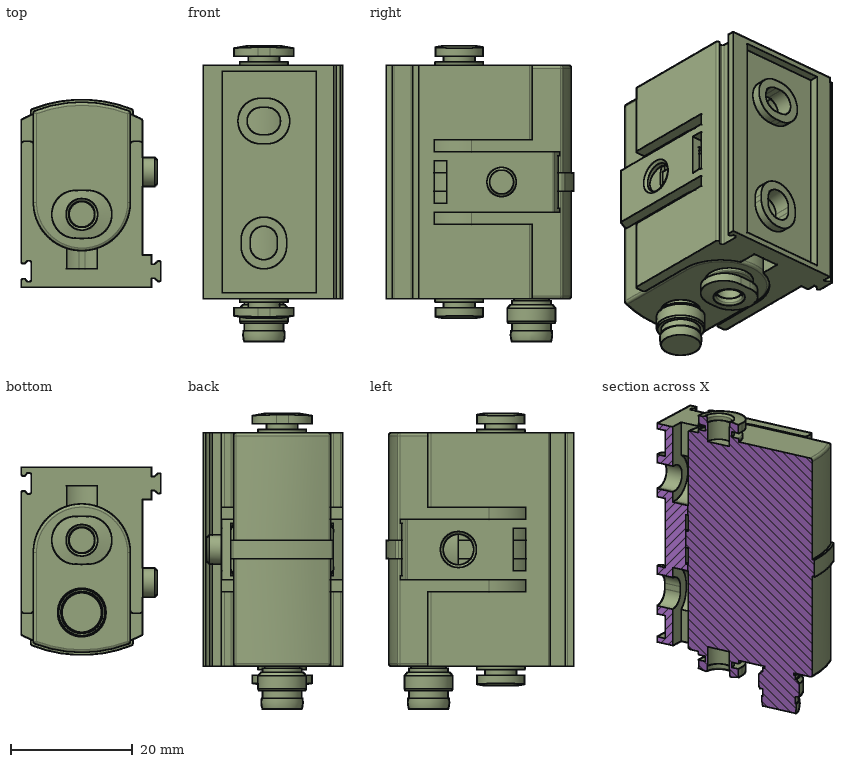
import cadquery as cq
import math

half_height = 19.25
half_width = 10.0

valve_radius = 8.0
valve_arc_y = 14.03
dome_centre_y = 8.85
dome_radius = 21.6
valve_edge = 0.5
belt_rise = 0.45
belt_height = 3.0

bump_rise = 1.0
bump_chord = 8.55
bump_length = 3.0

fitting_y = 12.05
flange_diameter = 8.0
flange_height = 0.6
flange_edge = 0.2
neck_diameter = 5.2
knob_length = 9.9
knob_width = 7.9
knob_start = 1.4
knob_end = 3.2
crown_angle = 10.0
mouth_diameter = 5.0
throat_diameter = 4.35
bore_diameter = 4.2
throat_depth = 1.05
bore_depth = 4.4

connector_y = 23.9
connector_length = 7.0
connector_neck_diameter = 5.8
connector_body_diameter = 6.5
barrel_diameter = 6.9
barrel_rim_diameter = 6.75
nut_diameter = 8.0
nut_chamfer_diameter = 7.6
connector_neck_end = 0.3
connector_shoulder_end = 0.93
nut_start = 1.55
nut_chamfer_start = 3.7
nut_end = 4.05
barrel_start = 5.25
barrel_bulge = 5.85

foot_x = 11.5
foot_y = 5.35
arm_end_y = 24.0
arm_edge = 0.45
clip_end_radius = 21.25
clip_edge = 0.25
clip_height = 9.95
clip_relief_height = 8.55
bump_channel_x = 8.55
bump_channel_height = 4.2
slot_outer_height = 13.95
slot_floor_y = 7.9
window_height = 7.0
window_width = 2.05

dovetail_y = 2.7
dovetail_end_x = 13.0
dovetail_flare_x = 12.55
dovetail_neck_x = 11.95
dovetail_neck_half = 1.15
dovetail_flare_half = 1.7
groove_depth = 1.65
groove_mouth_half = 1.2
groove_lip = 0.6
groove_flare_depth = 1.0
groove_corner = 0.3
groove_mouth_edge = 0.35

pin_y = 19.0
pin_diameter = 4.8
pin_length = 2.45
pin_chamfer = 0.45
socket_diameter = 5.0
socket_mouth_diameter = 5.95

pocket_left = -6.8
pocket_right = 8.6
pocket_height = 36.45
pocket_depth = 1.5
port_z = 10.05
port_flat = 1.0
boss_width = 7.5
port_width = 4.5
chamber_width = 8.0
chamber_y = 3.05
notch_width = 5.0


def box(x0, x1, y0, y1, height):
    """Box between two X and two Y limits, centred on mid-height."""
    return cq.Workplane("XY").box(x1 - x0, y1 - y0, height).translate(((x0 + x1) / 2, (y0 + y1) / 2, 0))


def cylinder_z(radius, y, height):
    return cq.Workplane("XY").center(0, y).circle(radius).extrude(height / 2, both=True)


def u_prism(offset, height):
    """U-shaped prism, grown outwards from the valve outline by an offset."""
    radius = valve_radius + offset
    dome = dome_radius + offset
    shoulder_y = dome_centre_y + math.sqrt(dome**2 - radius**2)
    return (
        cq.Workplane("XY", origin=(0, 0, -height / 2))
        .moveTo(-radius, valve_arc_y)
        .threePointArc((0, valve_arc_y - radius), (radius, valve_arc_y))
        .lineTo(radius, shoulder_y)
        .threePointArc((0, dome_centre_y + dome), (-radius, shoulder_y))
        .close()
        .extrude(height)
    )


def back_edges(body):
    """The upright edges of a body that lie behind the arm ends."""
    near = (-half_width - 0.5, arm_end_y, -half_height - 0.5)
    far = (half_width + 0.5, dome_centre_y + dome_radius + 0.5, half_height + 0.5)
    return body.edges(cq.selectors.BoxSelector(near, far)).edges("|Z")


def snap_bump(side):
    """Segment of a cylinder along Y that bulges from one side of the valve."""
    radius = ((bump_chord / 2) ** 2 + bump_rise**2) / (2 * bump_rise)
    rod_x = valve_radius + bump_rise - radius
    rod = cq.Workplane("XZ", origin=(rod_x, pin_y, 0)).circle(radius).extrude(-bump_length)
    keep = box(valve_radius - belt_rise, half_width, pin_y, pin_y + bump_length, bump_chord)
    bump = rod.intersect(keep)
    return bump if side > 0 else bump.mirror("YZ")


def fitting():
    """Release-collar fitting standing on the plane Z = 0."""
    flange = cq.Workplane("XY").circle(flange_diameter / 2).extrude(flange_height)
    flange = flange.faces(">Z").edges().fillet(flange_edge)
    neck = cq.Workplane("XY").circle(neck_diameter / 2).extrude(knob_end)
    crown_drop = (knob_length - mouth_diameter) / 2 * math.tan(math.radians(crown_angle))
    crown = (
        cq.Workplane("XZ")
        .polyline([
            (0, knob_start),
            (knob_length / 2, knob_start),
            (knob_length / 2, knob_end - crown_drop),
            (mouth_diameter / 2, knob_end),
            (0, knob_end),
        ])
        .close()
        .revolve(360, (0, 0), (0, 1))
    )
    knob = cq.Workplane("XY").slot2D(knob_length, knob_width).extrude(knob_end).intersect(crown)
    return flange.union(neck).union(knob)


def fitting_bore():
    """Stepped bore with a rounded mouth at the outer end of a fitting."""
    mouth_radius = mouth_diameter / 2
    throat_radius = throat_diameter / 2
    bore_radius = bore_diameter / 2
    rounding = mouth_radius - throat_radius
    return (
        cq.Workplane("XZ")
        .moveTo(0, knob_end)
        .lineTo(mouth_radius, knob_end)
        .radiusArc((throat_radius, knob_end - rounding), -rounding)
        .lineTo(throat_radius, knob_end - throat_depth)
        .lineTo(bore_radius, knob_end - throat_depth)
        .lineTo(bore_radius, knob_end - bore_depth)
        .lineTo(0, knob_end - bore_depth)
        .close()
        .revolve(360, (0, 0), (0, 1))
    )


def connector():
    """Turned plug hanging below the plane Z = 0."""
    body_radius = connector_body_diameter / 2
    return (
        cq.Workplane("XZ")
        .moveTo(0, 0)
        .lineTo(connector_neck_diameter / 2, 0)
        .lineTo(connector_neck_diameter / 2, -connector_neck_end)
        .lineTo(body_radius, -connector_neck_end)
        .lineTo(body_radius, -connector_shoulder_end)
        .lineTo(barrel_diameter / 2, -connector_shoulder_end)
        .lineTo(nut_diameter / 2, -nut_start)
        .lineTo(nut_diameter / 2, -nut_chamfer_start)
        .lineTo(nut_chamfer_diameter / 2, -nut_end)
        .lineTo(body_radius, -nut_end)
        .lineTo(body_radius, -barrel_start)
        .lineTo(barrel_rim_diameter / 2, -barrel_start)
        .threePointArc((barrel_diameter / 2, -barrel_bulge), (body_radius, -connector_length))
        .lineTo(0, -connector_length)
        .close()
        .revolve(360, (0, 0), (0, 1))
    )


def build_valve():
    block = u_prism(0, 2 * half_height)
    block = back_edges(block).fillet(valve_edge)
    block = block.faces("<Z or >Z").edges().fillet(valve_edge)
    belt = back_edges(u_prism(belt_rise, belt_height)).fillet(valve_edge)
    valve = block.union(belt)
    for side in (-1, 1):
        valve = valve.union(snap_bump(side))
    top_place = (0, fitting_y, half_height)
    top_fitting = fitting().translate(top_place)
    top_bore = fitting_bore().translate(top_place)
    valve = valve.union(top_fitting).union(top_fitting.mirror("XY"))
    valve = valve.cut(top_bore).cut(top_bore.mirror("XY"))
    return valve.union(connector().translate((0, connector_y, -half_height)))


def housing_block():
    """Extruded body with its foot; the arm ends are rounded outside."""
    arms = box(-half_width, half_width, 0, arm_end_y, 2 * half_height)
    arms = arms.cut(u_prism(0, 2 * half_height))
    arms = arms.faces(">Y").edges("|Z").fillet(arm_edge)
    foot = box(0, foot_x, 0, foot_y, 2 * half_height)
    return arms.union(foot)


def dovetail():
    upper = [
        (foot_x, dovetail_neck_half),
        (dovetail_neck_x, dovetail_neck_half),
        (dovetail_flare_x, dovetail_flare_half),
        (dovetail_end_x, dovetail_flare_half),
    ]
    lower = [(x, -y) for x, y in reversed(upper)]
    rail = cq.Workplane("XY").polyline(upper + lower).close().extrude(half_height, both=True)
    return rail.edges("|Z and >X").fillet(groove_corner).translate((0, dovetail_y, 0))


def dovetail_groove():
    upper = [
        (0, groove_mouth_half),
        (groove_lip, groove_mouth_half),
        (groove_flare_depth, dovetail_flare_half),
        (groove_depth, dovetail_flare_half),
    ]
    lower = [(x, -y) for x, y in reversed(upper)]
    groove = cq.Workplane("XY").polyline(upper + lower).close().extrude(half_height, both=True)
    return groove.edges("|Z and >X").fillet(groove_corner).translate((-half_width, dovetail_y, 0))


def round_groove_mouth(housing):
    """Round the two upright edges where the groove opens on the -X side."""
    reach = groove_mouth_half + groove_lip / 2
    mouth = cq.selectors.BoxSelector(
        (-half_width - 0.5, dovetail_y - reach, -half_height - 0.5),
        (-half_width + groove_lip / 2, dovetail_y + reach, half_height + 0.5),
    )
    return housing.edges(mouth).edges("|Z").fillet(groove_mouth_edge)


def clips():
    """Pair of side clips with curved ends, hollowed for the belt and the snap bumps."""
    dome_top = dome_centre_y + dome_radius
    clip = box(-half_width, half_width, slot_floor_y, dome_top, clip_height)
    clip = clip.intersect(cylinder_z(clip_end_radius, dome_centre_y, clip_height))
    clip = back_edges(clip).fillet(clip_edge)
    clip = clip.cut(u_prism(0, clip_height))
    clip = clip.cut(u_prism(belt_rise, clip_relief_height))
    window_end_y = slot_floor_y + window_width
    clip = clip.cut(box(-half_width, half_width, slot_floor_y, window_end_y, window_height))
    clip = clip.cut(box(-bump_channel_x, bump_channel_x, window_end_y, pin_y, bump_channel_height))
    for side in (-1, 1):
        clip = clip.cut(snap_bump(side))
    return clip


def alignment_pin():
    pin = cq.Workplane("YZ", origin=(half_width, pin_y, 0)).circle(pin_diameter / 2).extrude(pin_length)
    return pin.faces(">X").edges().chamfer(pin_chamfer)


def alignment_socket():
    """Chamfered hole through the clip on the -X side."""
    wall = half_width - valve_radius
    hole = cq.Workplane("YZ", origin=(-half_width, pin_y, 0)).circle(socket_diameter / 2).extrude(wall)
    chamfer_depth = (socket_mouth_diameter - socket_diameter) / 2
    mouth = cq.Workplane("YZ").circle(socket_mouth_diameter / 2).workplane(offset=chamfer_depth)
    mouth = mouth.circle(socket_diameter / 2).loft().translate((-half_width, pin_y, 0))
    return hole.union(mouth)


def port_prism(width, z, turn, y_start, y_end):
    """Oval prism along Y between two depths; the turn gives the direction of its long axis."""
    oval = cq.Workplane("XZ", origin=(0, y_start, z)).slot2D(width + port_flat, width, turn)
    return oval.extrude(y_start - y_end)


def cut_port(housing, z, turn, end):
    """Port boss with its bore, wider inner chamber and notch from the housing's end face."""
    housing = housing.union(port_prism(boss_width, z, turn, 0, pocket_depth))
    housing = housing.cut(port_prism(port_width, z, turn, 0, chamber_y))
    housing = housing.cut(port_prism(chamber_width, z, turn, chamber_y, valve_arc_y))
    notch_height = half_height - abs(z)
    notch = cq.Workplane("XY").box(notch_width, valve_arc_y - chamber_y, notch_height)
    notch_y = (chamber_y + valve_arc_y) / 2
    notch_z = end * (half_height - notch_height / 2)
    return housing.cut(notch.translate((0, notch_y, notch_z)))


def build_housing():
    housing = housing_block().union(dovetail()).cut(dovetail_groove())
    housing = round_groove_mouth(housing)
    housing = housing.cut(box(-half_width, half_width, slot_floor_y, arm_end_y, slot_outer_height))
    housing = housing.cut(u_prism(belt_rise, clip_relief_height))
    housing = housing.union(clips()).union(alignment_pin()).cut(alignment_socket())
    housing = housing.cut(box(pocket_left, pocket_right, 0, pocket_depth, pocket_height))
    housing = cut_port(housing, port_z, 0, 1)
    return cut_port(housing, -port_z, 90, -1)


valve = build_valve()
housing = build_housing()
result = cq.Compound.makeCompound([housing.solids().val(), valve.solids().val()])